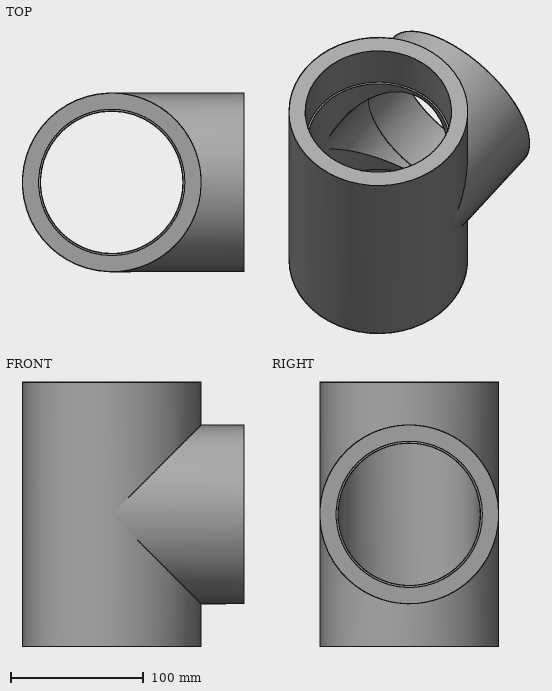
import cadquery as cq

run_length = 199.0
outer_diameter = 134.5
socket_diameter = 110.0
bore_diameter = 107.0
socket_depth = 42.0

branch_reach = run_length / 2


def run_cylinder(diameter, length):
    """Vertical cylinder centred on the origin."""
    return cq.Workplane("XY").circle(diameter / 2).extrude(length / 2, both=True)


def branch_cylinder(diameter, start):
    """Cylinder along X from the given distance to the branch mouth."""
    return cq.Workplane("YZ", origin=(start, 0, 0)).circle(diameter / 2).extrude(branch_reach - start)


body = run_cylinder(outer_diameter, run_length).union(branch_cylinder(outer_diameter, 0))

body = body.cut(run_cylinder(bore_diameter, run_length))
body = body.cut(branch_cylinder(bore_diameter, 0))

socket_floor = branch_reach - socket_depth
for direction in (1, -1):
    socket = (
        cq.Workplane("XY", origin=(0, 0, direction * socket_floor))
        .circle(socket_diameter / 2)
        .extrude(direction * socket_depth)
    )
    body = body.cut(socket)
result = body.cut(branch_cylinder(socket_diameter, socket_floor))